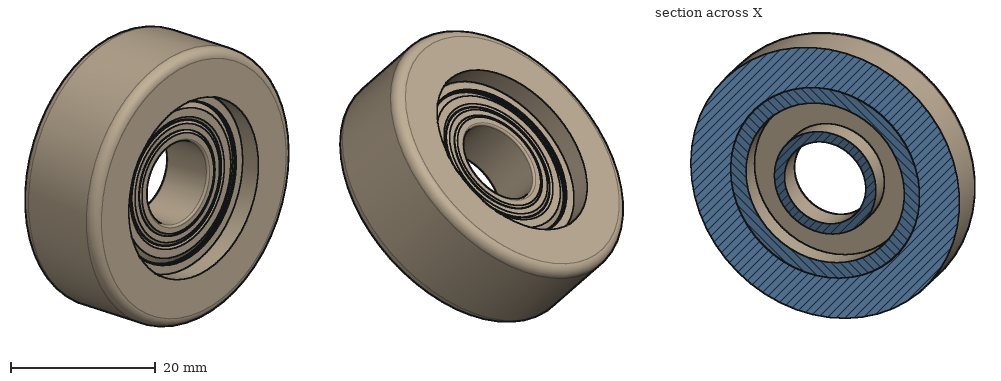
import cadquery as cq

wheel_diameter = 40.0
wheel_width = 14.0
wheel_edge_radius = 1.5
lip_diameter = 26.0

bearing_diameter = 28.0
bearing_width = 8.0
outer_ring_bore = 23.45
outer_ring_edge_radius = 1.1
inner_ring_diameter = 15.15
inner_ring_face_diameter = 14.4
inner_ring_chamfer_depth = 0.25
bore_diameter = 12.0
bore_edge_radius = 0.3

shield_thickness = 0.3
rim_recess = 0.25
valley_recess = 0.55
rim_flat_diameter = 23.1
plateau_outer_diameter = 21.45
plateau_inner_diameter = 18.9
groove_outer_diameter = 18.1
groove_inner_diameter = 17.85
inner_flat_diameter = 16.95
plateau_height = 0.45
groove_depth = 0.15

bearing_face = bearing_width / 2
rim_face = bearing_face - rim_recess
valley_face = bearing_face - valley_recess
plateau_face = valley_face + plateau_height
groove_floor = plateau_face - groove_depth


def disc(diameter, width):
    """Solid cylinder about the X axis, centred on the origin."""
    return cq.Workplane("YZ").workplane(offset=-width / 2).circle(diameter / 2).extrude(width)


def make_wheel():
    """Tyre with rounded rims and a lip on each side that retains the bearing."""
    body = disc(wheel_diameter, wheel_width)
    body = body.edges("%CIRCLE").fillet(wheel_edge_radius)
    opening = disc(lip_diameter, wheel_width)
    seat = disc(bearing_diameter, bearing_width)
    return body.cut(opening).cut(seat)


def make_outer_ring():
    """Outer ring with rounded outside corners, partly hidden behind the wheel lips."""
    ring = disc(bearing_diameter, bearing_width).edges("%CIRCLE").fillet(outer_ring_edge_radius)
    return ring.cut(disc(outer_ring_bore, bearing_width))


def make_inner_ring():
    """Sleeve-like ring with its outer corners chamfered and bore mouths rounded."""
    chamfer_width = (inner_ring_diameter - inner_ring_face_diameter) / 2
    ring = disc(inner_ring_diameter, bearing_width)
    ring = ring.faces("<X or >X").edges().chamfer(inner_ring_chamfer_depth, chamfer_width)
    bore = disc(bore_diameter, bearing_width)
    ring = ring.cut(bore)
    return ring.faces("<X or >X").edges(cq.selectors.RadiusNthSelector(0)).fillet(bore_edge_radius)


def make_shield(side):
    """Pressed shield between the rings; side is -1 or +1 along X."""
    outline = [
        (outer_ring_bore, rim_face),
        (rim_flat_diameter, rim_face),
        (rim_flat_diameter, valley_face),
        (plateau_outer_diameter, plateau_face),
        (plateau_inner_diameter, plateau_face),
        (groove_outer_diameter, groove_floor),
        (groove_inner_diameter, groove_floor),
        (inner_flat_diameter, plateau_face),
        (inner_ring_diameter, plateau_face),
        (inner_ring_diameter, valley_face - shield_thickness),
        (outer_ring_bore, valley_face - shield_thickness),
    ]
    points = [(side * x, diameter / 2) for diameter, x in outline]
    return cq.Workplane("XY").polyline(points).close().revolve(360, (0, 0, 0), (1, 0, 0))


wheel = make_wheel()
outer_ring = make_outer_ring()
inner_ring = make_inner_ring()
shields = [make_shield(side) for side in (-1, 1)]

result = cq.Compound.makeCompound(
    [wheel.val(), outer_ring.val(), inner_ring.val(), *[shield.val() for shield in shields]]
)